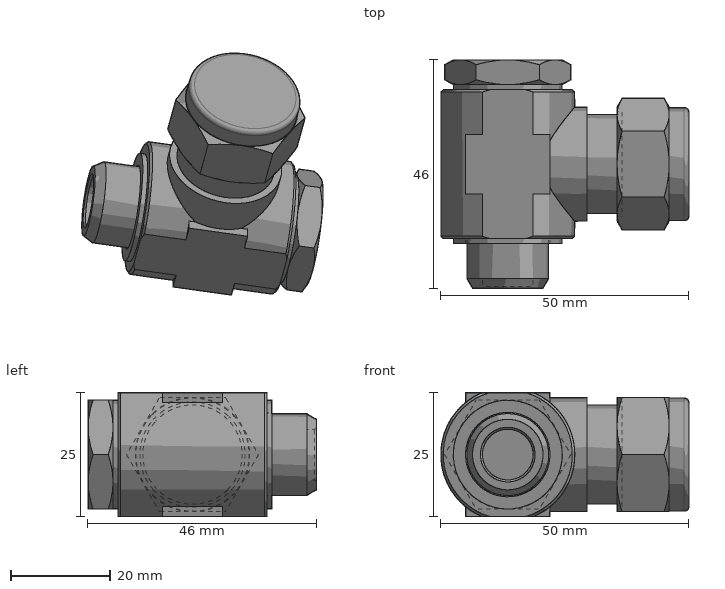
import cadquery as cq
import math


body_diameter = 27
body_length = 30
body_chamfer = 0.5
height_over_flats = 25
pad_width = 17
pad_length = 12

washer_diameter = 21.9
washer_bore = 17
washer_thickness = 1

head_across_flats = 22
head_height = 5
stud_diameter = 16.5
stud_length = 9
stud_tip_length = 2
stud_tip_angle = 30
bore_diameter = 10.2
bore_depth = 2
bore_chamfer = 0.4

shoulder_diameter = 23
shoulder_end = 16
neck_diameter = 20
neck_length = 6
nut_across_flats = 23
nut_length = 10.5
nut_mouth_diameter = 21.2
nut_mouth_depth = 1
nut_collar_diameter = 22.8
nut_collar_length = 4
nut_collar_fillet = 1

hex_chamfer_angle = 30

body_half = body_length / 2
washer_end = body_half + washer_thickness
stud_end = washer_end + stud_length
neck_end = shoulder_end + neck_length
nut_end = neck_end + nut_length


def cylinder_y(diameter, start, length):
    """Cylinder on the Y axis, growing from y = start towards +Y."""
    plane = cq.Workplane("XZ", origin=(0, start, 0))
    return plane.circle(diameter / 2).extrude(-length)


def cylinder_x(diameter, start, length):
    """Cylinder on the X axis, growing from x = start towards +X."""
    return cq.Workplane("YZ", origin=(start, 0, 0)).circle(diameter / 2).extrude(length)


def chamfered_hexagon(across_flats, length):
    """Hexagon along +Z, flats facing +-Y, with both ends turned to a cone that touches the flats."""
    flat_radius = across_flats / 2
    corner_radius = flat_radius / math.cos(math.pi / 6)
    chamfer_drop = (corner_radius - flat_radius) * math.tan(math.radians(hex_chamfer_angle))
    prism = cq.Workplane("XY").polygon(6, 2 * corner_radius).extrude(length)
    turned_profile = [
        (0, 0),
        (flat_radius, 0),
        (corner_radius, chamfer_drop),
        (corner_radius, length - chamfer_drop),
        (flat_radius, length),
        (0, length),
    ]
    turned_blank = cq.Workplane("XZ").polyline(turned_profile).close().revolve(360, (0, 0), (0, 1))
    return prism.intersect(turned_blank)


def make_body():
    """Chamfered cylinder cut to two flats, widened to a rectangular pad in the middle."""
    barrel = cylinder_y(body_diameter, -body_half, body_length).edges().chamfer(body_chamfer)
    barrel = barrel.intersect(cq.Workplane("XY").box(body_diameter, body_length, height_over_flats))
    return barrel.union(cq.Workplane("XY").box(pad_width, pad_length, height_over_flats))


def make_washers():
    """Plain rear washer, and a front one that leaves a thin gap around the stud."""
    rear = cylinder_y(washer_diameter, body_half, washer_thickness)
    front = cylinder_y(washer_diameter, -washer_end, washer_thickness)
    front = front.cut(cylinder_y(washer_bore, -washer_end, washer_thickness))
    return rear.union(front)


def make_stud():
    """Stud with a conical tip and a shallow chamfered bore in its end face."""
    stud_radius = stud_diameter / 2
    bore_radius = bore_diameter / 2
    tip_radius = stud_radius - stud_tip_length * math.tan(math.radians(stud_tip_angle))
    profile = [
        (0, -body_half),
        (stud_radius, -body_half),
        (stud_radius, -stud_end + stud_tip_length),
        (tip_radius, -stud_end),
        (bore_radius + bore_chamfer, -stud_end),
        (bore_radius, -stud_end + bore_chamfer),
        (bore_radius, -stud_end + bore_depth),
        (0, -stud_end + bore_depth),
    ]
    return cq.Workplane("XY").polyline(profile).close().revolve(360, (0, 0), (0, 1))


def make_bolt_head():
    """Hexagon head with two flats parallel to the body flats."""
    head = chamfered_hexagon(head_across_flats, head_height)
    return head.rotate((0, 0, 0), (1, 0, 0), -90).translate((0, washer_end, 0))


def make_branch():
    """Shoulder, neck and union nut; the nut mouth clears the neck and a round collar ends it."""
    shoulder = cylinder_x(shoulder_diameter, 0, shoulder_end)
    neck = cylinder_x(neck_diameter, shoulder_end, neck_length + nut_mouth_depth)
    nut = chamfered_hexagon(nut_across_flats, nut_length)
    nut = nut.rotate((0, 0, 0), (0, 0, 1), 90).rotate((0, 0, 0), (0, 1, 0), 90)
    nut = nut.translate((neck_end, 0, 0))
    nut = nut.cut(cylinder_x(nut_mouth_diameter, neck_end, nut_mouth_depth))
    collar = cylinder_x(nut_collar_diameter, nut_end, nut_collar_length)
    collar = collar.faces(">X").edges().fillet(nut_collar_fillet)
    return shoulder.union(neck).union(nut).union(collar)


result = (
    make_body()
    .union(make_branch())
    .union(make_washers())
    .union(make_stud())
    .union(make_bolt_head())
)